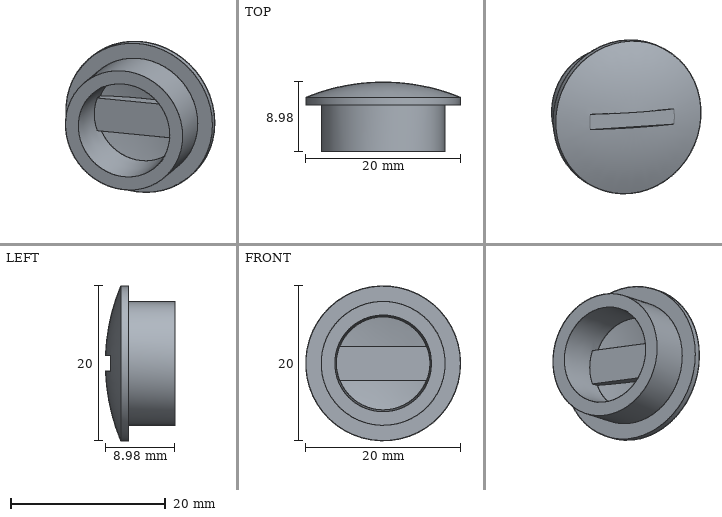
import cadquery as cq
import math

flange_diameter = 20.0
flange_thickness = 1.0
sleeve_diameter = 16.0
sleeve_length = 6.0
dome_height = 2.0
dome_wall = 1.4

mouth_diameter = 12.48
bore_draft = 2.0

bar_width = 4.4
bar_face_depth = 5.75

slot_width = 2.0
slot_depth = 0.65

flange_radius = flange_diameter / 2
sleeve_radius = sleeve_diameter / 2
dome_base = sleeve_length + flange_thickness
total_length = dome_base + dome_height
dome_radius = (flange_radius**2 + dome_height**2) / (2 * dome_height)
dome_centre = total_length - dome_radius


def make_body():
    """Sleeve, flange and spherical dome, revolved about Y."""
    half_chord = flange_radius / 2
    dome_mid_y = dome_centre + math.sqrt(dome_radius**2 - half_chord**2)
    profile = (
        cq.Workplane("XY")
        .lineTo(sleeve_radius, 0)
        .lineTo(sleeve_radius, sleeve_length)
        .lineTo(flange_radius, sleeve_length)
        .lineTo(flange_radius, dome_base)
        .threePointArc((half_chord, dome_mid_y), (0, total_length))
        .close()
    )
    return profile.revolve(360, (0, 0, 0), (0, 1, 0))


def make_cavity():
    """Drafted bore ending in a sphere concentric with the dome, less the cross bar."""
    mouth_radius = mouth_diameter / 2
    end_radius = mouth_radius - total_length * math.tan(math.radians(bore_draft))
    bore = (
        cq.Workplane("XY")
        .polyline([(0, 0), (mouth_radius, 0), (end_radius, total_length), (0, total_length)])
        .close()
        .revolve(360, (0, 0, 0), (0, 1, 0))
    )
    inner_sphere = cq.Workplane("XY").sphere(dome_radius - dome_wall).translate((0, dome_centre, 0))
    bar = (
        cq.Workplane("XY")
        .box(flange_diameter, total_length, bar_width)
        .translate((0, bar_face_depth + total_length / 2, 0))
    )
    return bore.intersect(inner_sphere).cut(bar)


def make_slot():
    """Screwdriver slot running across the dome along X."""
    return (
        cq.Workplane("XY")
        .box(flange_diameter, 2 * slot_depth, slot_width)
        .translate((0, total_length, 0))
    )


result = make_body().cut(make_cavity()).cut(make_slot())